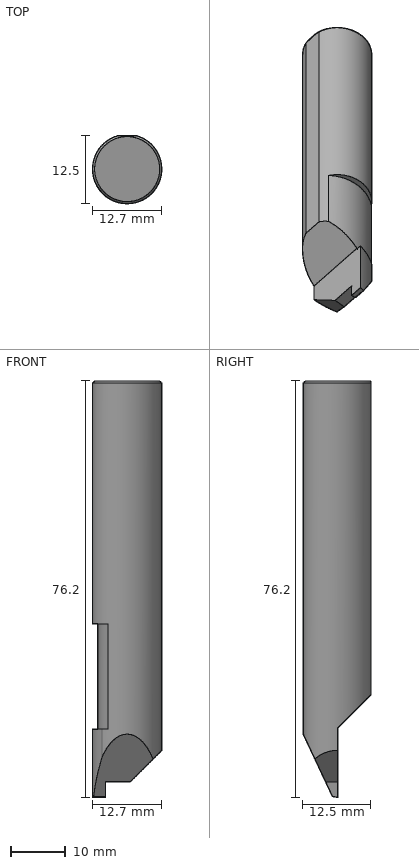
import cadquery as cq
import math

shank_dia = 12.7
shank_radius = shank_dia / 2
total_length = 76.2
top_chamfer = 0.4
flat_y = 6.1
margin = 5.0
reach = shank_radius + margin

relief_bottom = 12.5
relief_top = 31.75
relief_depth = 0.95
relief_half_width = 5.27

rake_top = 12.7
ramp_angle = 45.0
heel_height = 11.6
tip_land = 1.0
tip_land_rise = 0.2
tip_width = 2.4
shoulder_height = 2.85
shoulder_end_x = 0.55
nose_bevel_angle = 45.0
flank_back_y = -4.35
flank_bulge = 0.25


def make_shank():
    shank = cq.Workplane("XY").circle(shank_radius).extrude(total_length)
    shank = shank.faces(">Z").chamfer(top_chamfer)
    flat = cq.Workplane("XY").box(2 * reach, margin, total_length, centered=(True, False, False))
    return shank.cut(flat.translate((0, flat_y, 0)))


def prism_along_x(points):
    """Solid with a (y, z) outline, running across the whole shank in X."""
    return cq.Workplane("YZ").polyline(points).close().extrude(reach, both=True)


def make_side_relief():
    edge_x = -math.sqrt(shank_radius**2 - relief_half_width**2)
    bottom_x = -shank_radius + relief_depth
    sagitta = edge_x - bottom_x
    relief_radius = (relief_half_width**2 + sagitta**2) / (2 * sagitta)
    height = relief_top - relief_bottom
    blank = cq.Workplane("XY").rect(2 * reach, 2 * reach).extrude(height)
    core = cq.Workplane("XY").center(bottom_x + relief_radius, 0).circle(relief_radius).extrude(height)
    return blank.cut(core).translate((0, 0, relief_bottom))


def make_rake_cut():
    """Removes the +Y half below the ramp, leaving the rake face at y = 0."""
    ramp_top = rake_top + reach * math.tan(math.radians(ramp_angle))
    return prism_along_x([(0, -margin), (0, rake_top), (reach, ramp_top), (reach, -margin)])


def make_underside_cut():
    """Slopes the underside from the narrow tip land up to the -Y edge."""
    slope = (heel_height - tip_land_rise) / (shank_radius - tip_land)
    outer_height = heel_height + slope * margin
    return prism_along_x([
        (0, 0),
        (-tip_land, tip_land_rise),
        (-reach, outer_height),
        (-reach, -margin),
        (0, -margin),
    ])


def make_nose_cut():
    """Shoulder beside the tip and the bevel rising to the +X side."""
    tip_x = -shank_radius + tip_width
    bevel_top = shoulder_height + (reach - shoulder_end_x) * math.tan(math.radians(nose_bevel_angle))
    outline = [
        (tip_x, -margin),
        (tip_x, shoulder_height),
        (shoulder_end_x, shoulder_height),
        (reach, bevel_top),
        (reach, -margin),
    ]
    return cq.Workplane("XZ").polyline(outline).close().extrude(reach, both=True)


def make_flank_cut():
    """Slightly convex clearance flank from the cutting edge back to the shank surface."""
    back_x = -math.sqrt(shank_radius**2 - flank_back_y**2)
    outline = (
        cq.Workplane("XY")
        .moveTo(-shank_radius, 0)
        .sagittaArc((back_x, flank_back_y), -flank_bulge)
        .lineTo(-reach, flank_back_y)
        .lineTo(-reach, 0)
        .close()
    )
    return outline.extrude(relief_bottom)


result = (
    make_shank()
    .cut(make_side_relief())
    .cut(make_rake_cut())
    .cut(make_underside_cut())
    .cut(make_nose_cut())
    .cut(make_flank_cut())
)